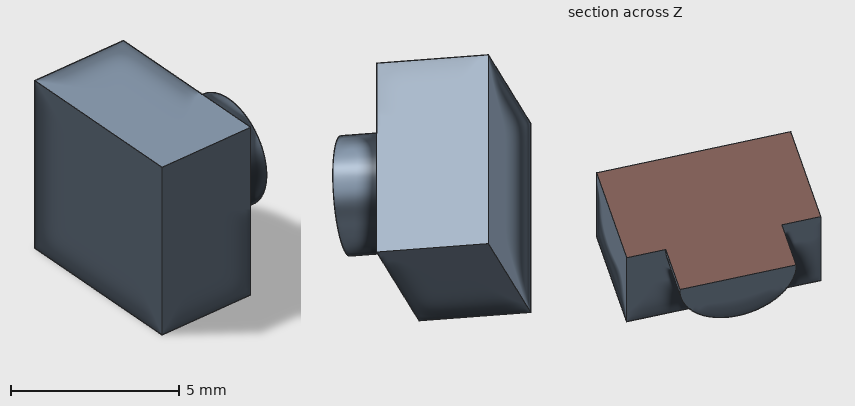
import cadquery as cq

block_side = 6.0
total_depth = 5.0
block_depth = 3.4
boss_diameter = 3.6
boss_length = total_depth - block_depth

block = cq.Workplane("XY").box(block_side, block_depth, block_side, centered=(True, False, True))

result = block.faces(">Y").workplane(centerOption="CenterOfMass").circle(boss_diameter / 2).extrude(boss_length)